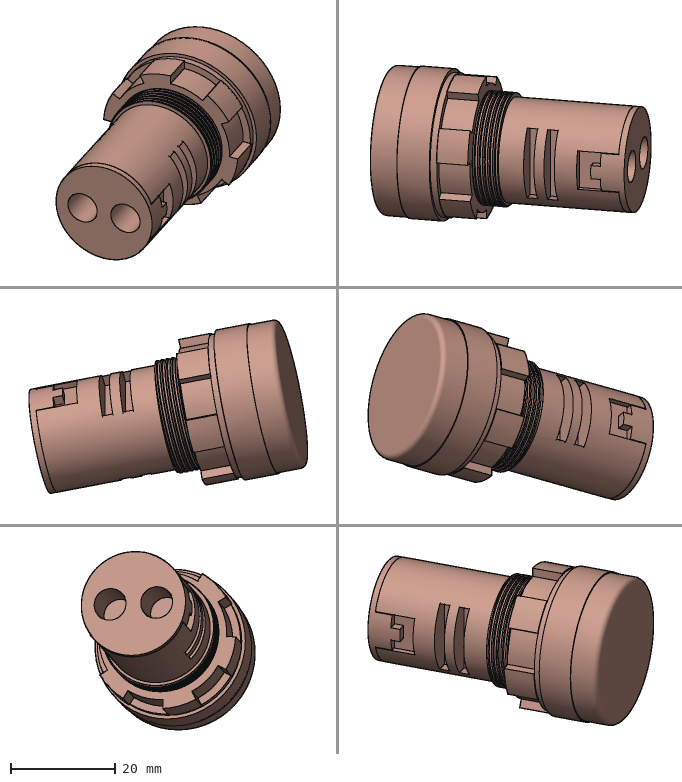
import cadquery as cq
import math


CAP_END = 1.27
THREAD_START = 24.95
NUT_START = 30.0
NECK_START = 36.2
BEZEL_START = 37.5
LENS_START = 43.95
TOTAL_LENGTH = 49.5

CAP_RADIUS = 10.2
TUBE_RADIUS = 10.23
THREAD_ROOT_RADIUS = 10.8
THREAD_CREST_RADIUS = 11.05
NUT_RADIUS = 14.25
NECK_RADIUS = 14.0
BEZEL_RADIUS = 14.7
LENS_RADIUS = 14.5
LENS_EDGE_FILLET = 1.0

THREAD_PITCH = 1.0
RIDGE_BASE = 0.75
RIDGE_CREST = 0.3
RIDGE_OVERLAP = 0.15

NOTCH_COUNT = 6
NOTCH_FLOOR_RADIUS = 12.5
NOTCH_FROM_ANGLE = 57.0
NOTCH_SPAN = 33.0

HOLE_RADIUS = 3.1
HOLE_OFFSET = 4.55
HOLE_DEPTH = 10.0

SLOT_HALF_HEIGHT = 7.0
SLOT_WIDTH = 2.05
SLOT_DEPTH = 5.0
SLOT_STARTS = (13.85, 17.9)

POCKET_END = 9.42
POCKET_HALF_HEIGHT = 3.86
POCKET_DEPTH = 2.0
POCKET_FLOOR_X = TUBE_RADIUS - POCKET_DEPTH
CLIP_GAP = 0.12
CLIP_SHOULDER_END = 4.75
CLIP_LUG_END = 6.63
CLIP_LUG_HALF_HEIGHT = 1.32


def cylinder(radius, y_from, y_to):
    """Solid cylinder on the Y axis between two stations."""
    return cq.Workplane("XZ", origin=(0, y_from, 0)).circle(radius).extrude(y_from - y_to)


def block(x_from, x_to, y_from, y_to, half_height):
    """Box centred on Z = 0 between the given X and Y limits."""
    size = (x_to - x_from, y_to - y_from, 2 * half_height)
    return cq.Workplane("XY").box(*size, centered=(False, False, True)).translate((x_from, y_from, 0))


def on_both_sides(feature):
    """A feature on the -X side together with its mirror image on the +X side."""
    return feature.union(feature.mirror("YZ"))


def turned_body():
    """Coaxial cylinders from end cap to lens, without the threaded section."""
    lens = cylinder(LENS_RADIUS, LENS_START, TOTAL_LENGTH).faces(">Y").edges().fillet(LENS_EDGE_FILLET)
    return (
        cylinder(CAP_RADIUS, 0, CAP_END)
        .union(cylinder(TUBE_RADIUS, CAP_END, THREAD_START))
        .union(cylinder(NUT_RADIUS, NUT_START, NECK_START))
        .union(cylinder(NECK_RADIUS, NECK_START, BEZEL_START))
        .union(cylinder(BEZEL_RADIUS, BEZEL_START, LENS_START))
        .union(lens)
    )


def threaded_section():
    """Root cylinder with a right-handed helical ridge, both overlong and then trimmed square."""
    start = THREAD_START - THREAD_PITCH
    length = NUT_START - start + THREAD_PITCH
    inner_radius = THREAD_ROOT_RADIUS - RIDGE_OVERLAP
    helix = cq.Wire.makeHelix(
        THREAD_PITCH, length, inner_radius, cq.Vector(0, start, 0), cq.Vector(0, 1, 0)
    )
    first_point = helix.startPoint()
    outward = cq.Vector(first_point.x, 0, first_point.z).normalized()
    section_plane = cq.Plane(
        origin=first_point.toTuple(),
        xDir=outward.toTuple(),
        normal=outward.cross(cq.Vector(0, 1, 0)).toTuple(),
    )
    ridge_height = THREAD_CREST_RADIUS - inner_radius
    ridge = (
        cq.Workplane(section_plane)
        .moveTo(0, -RIDGE_BASE / 2)
        .lineTo(ridge_height, -RIDGE_CREST / 2)
        .lineTo(ridge_height, RIDGE_CREST / 2)
        .lineTo(0, RIDGE_BASE / 2)
        .close()
        .sweep(cq.Workplane(helix), isFrenet=True)
    )
    root = cylinder(THREAD_ROOT_RADIUS, start - THREAD_PITCH, NUT_START + 2 * THREAD_PITCH)
    return root.union(ridge).intersect(cylinder(THREAD_CREST_RADIUS + RIDGE_OVERLAP, THREAD_START, NUT_START))


def nut_notch(start_angle):
    """Sector of a ring, open at the front of the nut and closed by the neck behind it."""
    def point(radius, angle):
        return (radius * math.cos(math.radians(angle)), radius * math.sin(math.radians(angle)))

    middle_angle = start_angle + NOTCH_SPAN / 2
    end_angle = start_angle + NOTCH_SPAN
    return (
        cq.Workplane("XZ", origin=(0, NUT_START, 0))
        .moveTo(*point(NOTCH_FLOOR_RADIUS, start_angle))
        .lineTo(*point(BEZEL_RADIUS, start_angle))
        .threePointArc(point(BEZEL_RADIUS, middle_angle), point(BEZEL_RADIUS, end_angle))
        .lineTo(*point(NOTCH_FLOOR_RADIUS, end_angle))
        .threePointArc(point(NOTCH_FLOOR_RADIUS, middle_angle), point(NOTCH_FLOOR_RADIUS, start_angle))
        .close()
        .extrude(NUT_START - NECK_START)
    )


def terminal_holes():
    """Pair of blind holes in the terminal end."""
    return (
        cq.Workplane("XZ")
        .pushPoints([(-HOLE_OFFSET, 0), (HOLE_OFFSET, 0)])
        .circle(HOLE_RADIUS)
        .extrude(-HOLE_DEPTH)
    )


def vent_slot(y_from):
    """Flat-bottomed slot cut into the side of the tube."""
    floor = TUBE_RADIUS - SLOT_DEPTH
    return on_both_sides(block(-BEZEL_RADIUS, -floor, y_from, y_from + SLOT_WIDTH, SLOT_HALF_HEIGHT))


def latch_pocket():
    """Rectangular recess on each side, just behind the end cap."""
    return on_both_sides(block(-BEZEL_RADIUS, -POCKET_FLOOR_X, CAP_END, POCKET_END, POCKET_HALF_HEIGHT))


def latch_clip():
    """Spring tab with a narrower lug at its tip, flush with the end cap."""
    tab = block(-BEZEL_RADIUS, -POCKET_FLOOR_X, 0, CLIP_SHOULDER_END, POCKET_HALF_HEIGHT - CLIP_GAP)
    lug = block(-BEZEL_RADIUS, -POCKET_FLOOR_X, CLIP_SHOULDER_END, CLIP_LUG_END, CLIP_LUG_HALF_HEIGHT)
    return on_both_sides(tab.union(lug)).intersect(cylinder(CAP_RADIUS, 0, POCKET_END))


result = turned_body().union(threaded_section())
for index in range(NOTCH_COUNT):
    result = result.cut(nut_notch(NOTCH_FROM_ANGLE + index * 360 / NOTCH_COUNT))
for slot_start in SLOT_STARTS:
    result = result.cut(vent_slot(slot_start))
result = result.cut(latch_pocket()).union(latch_clip()).cut(terminal_holes())